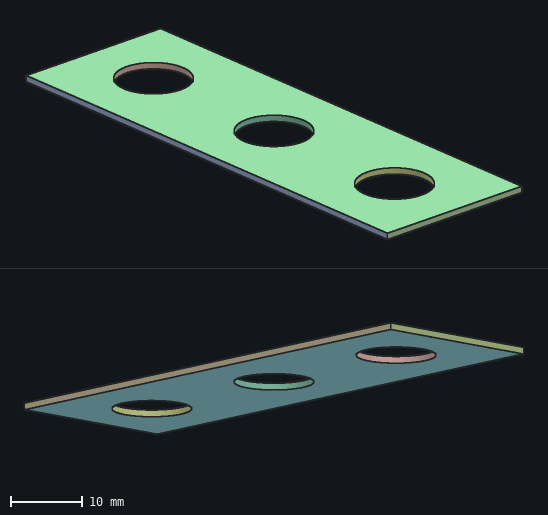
import cadquery as cq

length = 76.2
hole_count = 3
thickness = 1.0
hole_diameter = 11.2

pitch = length / hole_count
width = pitch

plate = cq.Workplane("XY").box(length, width, thickness)

result = (
    plate.faces(">Z")
    .workplane()
    .rarray(pitch, pitch, hole_count, 1)
    .hole(hole_diameter)
)